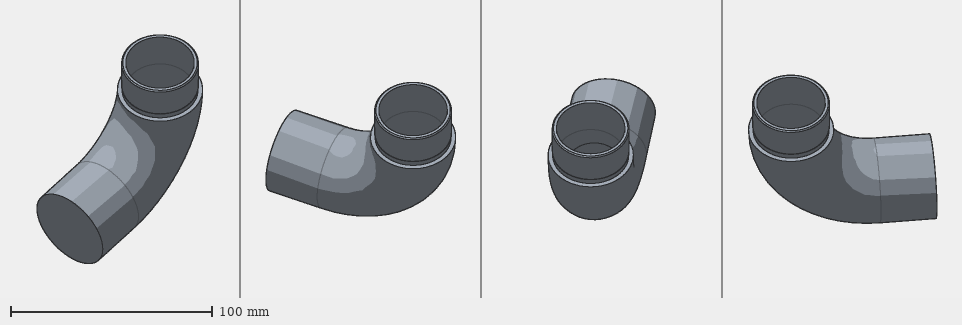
import cadquery as cq

tube_diameter = 42.4
spigot_diameter = 38.3
relief_diameter = 37.9
bore_diameter = 34.0
overall_depth = 92.0
overall_height = 84.0
bend_radius = 42.8
relief_height = 3.0
spigot_chamfer = 0.6

tube_radius = tube_diameter / 2
straight_length = overall_depth - tube_radius - bend_radius
spigot_length = overall_height - tube_radius - bend_radius


def elbow(diameter):
    """Quarter torus from the shoulder at the origin, turning from -Z towards -Y."""
    return (
        cq.Workplane("XY")
        .circle(diameter / 2)
        .revolve(90, (0.9, -bend_radius, 0), (0, -bend_radius, 0))
    )


def upright_cylinder(diameter, bottom, height):
    return cq.Workplane("XY").workplane(offset=bottom).circle(diameter / 2).extrude(height)


straight_leg = (
    cq.Workplane("XZ", origin=(0, -bend_radius, -bend_radius))
    .circle(tube_radius)
    .extrude(straight_length)
)
body = elbow(tube_diameter).union(straight_leg)

relief = upright_cylinder(relief_diameter, 0, relief_height)
spigot = (
    upright_cylinder(spigot_diameter, relief_height, spigot_length - relief_height)
    .faces(">Z")
    .edges()
    .chamfer(spigot_chamfer)
)
body = body.union(relief).union(spigot)

bore = upright_cylinder(bore_diameter, 0, spigot_length).union(elbow(bore_diameter))
result = body.cut(bore)